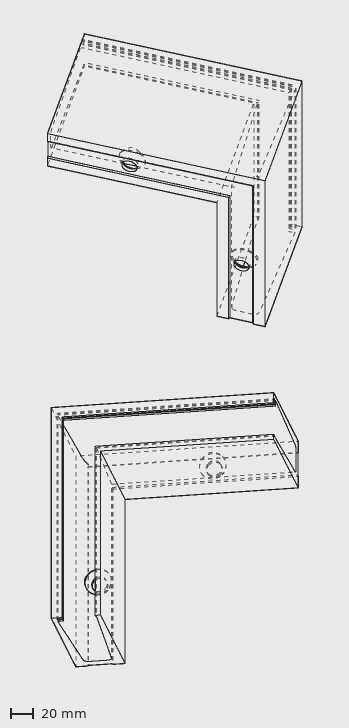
import cadquery as cq
import math

leg_length = 200.0
width = 120.0
section_height = 44.5

cavity_wall = 4.5
web_thickness = 11.0
taper_angle = 3.0
corner_radius = 4.8

lip_end = 2.8
tooth_start = 4.8
tooth_end = 8.5
tooth_depth = 9.5
slot_depth = 4.8
inner_lip_wall = 4.8

channel_margin = 10.8
channel_depth = 1.5
channel_slope_width = 1.0

hole_diameter = 14.0
hole_from_corner = 125.0
seat_start = 4.8
seat_angle = 45.0
head_diameter = 24.0

outer = leg_length
inner = leg_length - section_height
middle = leg_length - section_height / 2


def extrude_along_x(points):
    """Extrude a closed (Y, Z) outline over the full leg length."""
    return cq.Workplane("YZ").polyline(points).close().extrude(leg_length)


def cavity():
    """Tapered hollow with a rounded bottom and rails at its mouth."""
    taper_start = width - tooth_end
    slope = math.tan(math.radians(taper_angle))
    floor_inset = cavity_wall + (taper_start - web_thickness) * slope
    groove_inset = cavity_wall - (tooth_end - lip_end) * slope
    hollow = extrude_along_x([
        (web_thickness, outer - floor_inset),
        (taper_start, outer - cavity_wall),
        (taper_start, outer - tooth_depth),
        (width - tooth_start, outer - tooth_depth),
        (width - tooth_start, outer - slot_depth),
        (width - lip_end, outer - slot_depth),
        (width - lip_end, outer - tooth_depth),
        (width, outer - tooth_depth),
        (width, inner + inner_lip_wall),
        (width - lip_end, inner + inner_lip_wall),
        (width - lip_end, inner + groove_inset),
        (web_thickness, inner + floor_inset),
    ])
    return hollow.faces("<Y").edges("|X").fillet(corner_radius)


def front_channel():
    """Shallow channel with sloped sides along the front face."""
    floor_margin = channel_margin + channel_slope_width
    return extrude_along_x([
        (0, outer - channel_margin),
        (channel_depth, outer - floor_margin),
        (channel_depth, inner + floor_margin),
        (0, inner + channel_margin),
    ])


def screw_hole():
    """Hole on the leg centreline, countersunk from inside with clear room behind the seat."""
    cutter = cq.Workplane("XZ").center(leg_length - hole_from_corner, middle)
    hole = cutter.circle(hole_diameter / 2).extrude(-width)
    head_radius = head_diameter / 2
    cone_depth = (head_radius - hole_diameter / 2) / math.tan(math.radians(seat_angle))
    seat = cutter.workplane(offset=-seat_start - cone_depth)
    cone = seat.circle(head_radius).extrude(cone_depth, taper=seat_angle)
    head_room = seat.circle(head_radius).extrude(seat_start + cone_depth - width)
    return hole.union(cone).union(head_room)


def mitred_leg():
    """Horizontal leg, cut at 45 degrees where it meets the other leg."""
    outline = [(0, outer), (outer, outer), (inner, inner), (0, inner)]
    leg = cq.Workplane("XZ").polyline(outline).close().extrude(-width)
    return leg.cut(cavity()).cut(front_channel()).cut(screw_hole())


horizontal_leg = mitred_leg()
vertical_leg = horizontal_leg.mirror(cq.Vector(1, 0, -1))
result = horizontal_leg.union(vertical_leg).clean()